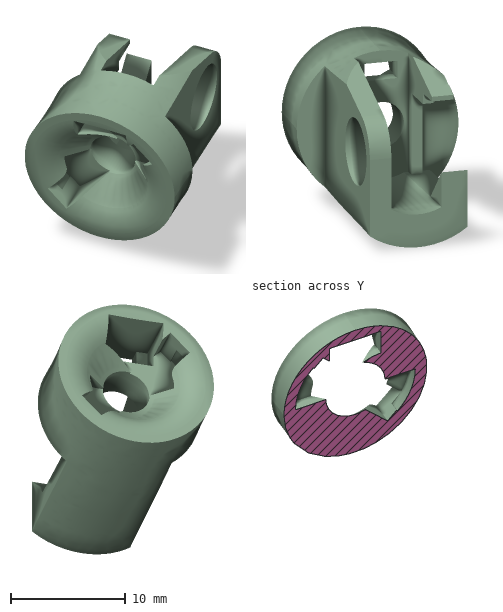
import cadquery as cq
import math

LENGTH = 17.06
COLLAR_BACK = 6.31
COLLAR_BACK_RIGHT = 4.18
CLEARANCE = 10.24

SKIN_SECTIONS = (
    (0.0, 7.11, 7.15, -7.15),
    (3.41, 7.06, 7.17, -7.45),
    (7.68, 7.17, 7.34, -7.76),
    (10.24, 7.2, 7.45, -7.9),
    (LENGTH, 7.17, 6.52, -8.02),
)

FORK_HALF_WIDTH = 4.49
SLOT_HALF_WIDTH = 2.5
LEDGE_Z = -4.54
RAIL_INNER_X = -2.12
RAIL_TOP_Z = -1.35
CHANNEL_RADIUS = 5.0
PIVOT_Y = 13.05
PIVOT_HOLE_RADIUS = 3.04
REAR_CORNER_RADIUS = 3.55
TOP_START_Z = 6.95
TOP_SLOPE = 20.8

TAB_BOTTOM_Z = 3.94
TAB_END_Y = 13.09
RIB_THICKNESS = 0.99
RIB_END_Y = 10.53

BORE_RADIUS = 2.12
SOCKET_DEPTH = 3.0
RIM_ROUND = 3.0
FLARE_ANGLE = math.radians(45)

KEY_ANGLE = 45.0
KEY_HALF_WIDTH = 1.25
KEY_HALF_LENGTH = 5.73
UNDERCUT_START = 1.26
KEY_FLOOR = 3.17
LIP_ROUND = 0.5

POCKET_BOTTOM_Z = 3.28
POCKET_TOP_Z = 5.77
POCKET_DEPTH = 5.0
WINDOW_HALF_WIDTH = 1.5
WINDOW_BOTTOM_Z = 4.18

RELIEF_START = (-2.27, POCKET_BOTTOM_Z)
RELIEF_MIDDLE = (-0.75, 2.85)
RELIEF_END = (0.32, 2.12)


def box(x_range, y_range, z_range):
    """Axis-aligned block between the given limits."""
    size = [high - low for low, high in (x_range, y_range, z_range)]
    low_corner = (x_range[0], y_range[0], z_range[0])
    return cq.Workplane("XY").box(*size, centered=False).translate(low_corner)


def front_sketch(y):
    """Workplane at depth y with X across and Z up; a negative extrusion goes rearward."""
    return cq.Workplane("XZ", origin=(0, y, 0))


def make_skin():
    """Solid body lofted through the elliptical sections."""
    rings = []
    for y, half_width, half_height, bottom in SKIN_SECTIONS:
        ring = cq.Wire.makeEllipse(
            half_width,
            half_height,
            cq.Vector(0, y, bottom + half_height),
            cq.Vector(0, -1, 0),
            cq.Vector(1, 0, 0),
            rotation_angle=0,
        )
        rings.append(ring)
    return cq.Workplane(obj=cq.Solid.makeLoft(rings))


def fork_side_cuts():
    """Flats on both sides of the fork, starting at the collar's rear faces."""
    full_height = (-CLEARANCE, CLEARANCE)
    left = box((-CLEARANCE, -FORK_HALF_WIDTH), (COLLAR_BACK, LENGTH), full_height)
    right = box((FORK_HALF_WIDTH, CLEARANCE), (COLLAR_BACK_RIGHT, LENGTH), full_height)
    return left.union(right)


def fork_top_cut():
    """Everything above the sloped and rounded upper edge of the fork."""
    slope = math.radians(TOP_SLOPE)
    corner_z = TOP_START_Z - (LENGTH - COLLAR_BACK) * math.tan(slope)
    tangent_length = REAR_CORNER_RADIUS * math.tan((math.pi / 2 - slope) / 2)
    center_y = LENGTH - REAR_CORNER_RADIUS
    center_z = corner_z - tangent_length

    def on_corner(angle):
        return (
            center_y + REAR_CORNER_RADIUS * math.cos(angle),
            center_z + REAR_CORNER_RADIUS * math.sin(angle),
        )

    start_angle = math.pi / 2 - slope
    return (
        cq.Workplane("YZ", origin=(-CLEARANCE, 0, 0))
        .moveTo(COLLAR_BACK, TOP_START_Z)
        .lineTo(*on_corner(start_angle))
        .threePointArc(on_corner(start_angle / 2), on_corner(0))
        .lineTo(LENGTH, CLEARANCE)
        .lineTo(COLLAR_BACK, CLEARANCE)
        .close()
        .extrude(2 * CLEARANCE)
    )


def fork_slot():
    """Slot between the fork walls: open at the top, with a round channel as its floor."""
    slot = box(
        (RAIL_INNER_X, SLOT_HALF_WIDTH),
        (COLLAR_BACK, LENGTH),
        (-CHANNEL_RADIUS, CLEARANCE),
    )
    floor = front_sketch(COLLAR_BACK).circle(CHANNEL_RADIUS).extrude(COLLAR_BACK - LENGTH)
    upper = box(
        (-SLOT_HALF_WIDTH, SLOT_HALF_WIDTH),
        (COLLAR_BACK, LENGTH),
        (0, CLEARANCE),
    )
    return slot.intersect(floor).union(upper)


def left_opening():
    """Side opening under the tab; a 45 degree rise closes its rear lower corner."""
    rise = RAIL_TOP_Z - LEDGE_Z
    outline = [
        (COLLAR_BACK, LEDGE_Z),
        (LENGTH - rise, LEDGE_Z),
        (LENGTH, RAIL_TOP_Z),
        (LENGTH, CLEARANCE),
        (TAB_END_Y, CLEARANCE),
        (TAB_END_Y, TAB_BOTTOM_Z),
        (COLLAR_BACK, TAB_BOTTOM_Z),
    ]
    return (
        cq.Workplane("YZ", origin=(-CLEARANCE, 0, 0))
        .polyline(outline)
        .close()
        .extrude(CLEARANCE + RAIL_INNER_X)
    )


def tab_rib():
    """L-shaped rib along the underside of the tab and down the collar's rear face."""
    x_range = (-SLOT_HALF_WIDTH - RIB_THICKNESS, -SLOT_HALF_WIDTH)
    under_tab = box(
        x_range, (COLLAR_BACK, RIB_END_Y), (TAB_BOTTOM_Z - RIB_THICKNESS, TAB_BOTTOM_Z)
    )
    on_collar = box(
        x_range, (COLLAR_BACK, COLLAR_BACK + RIB_THICKNESS), (LEDGE_Z, TAB_BOTTOM_Z)
    )
    return under_tab.union(on_collar)


def pivot_hole():
    """Cross hole through the right-hand wall."""
    return (
        cq.Workplane("YZ")
        .center(PIVOT_Y, 0)
        .circle(PIVOT_HOLE_RADIUS)
        .extrude(CLEARANCE)
    )


def socket():
    """Flared rim, 45 degree cone and bore, revolved about the Y axis."""
    flare_depth = RIM_ROUND * (1 - math.cos(FLARE_ANGLE))
    cone_radius = BORE_RADIUS + SOCKET_DEPTH - flare_depth
    rim_radius = cone_radius + RIM_ROUND * math.sin(FLARE_ANGLE)
    arc_middle = (
        rim_radius - RIM_ROUND * math.sin(FLARE_ANGLE / 2),
        RIM_ROUND * (1 - math.cos(FLARE_ANGLE / 2)),
    )
    return (
        cq.Workplane("XY")
        .moveTo(0, 0)
        .lineTo(rim_radius, 0)
        .threePointArc(arc_middle, (cone_radius, flare_depth))
        .lineTo(BORE_RADIUS, SOCKET_DEPTH)
        .lineTo(BORE_RADIUS, COLLAR_BACK)
        .lineTo(0, COLLAR_BACK)
        .close()
        .revolve(360, (0, 0, 0), (0, 1, 0))
    )


def key_slot():
    """Slanted key slot plus two undercut sectors in which the key can turn."""
    slot = (
        front_sketch(0)
        .transformed(rotate=(0, 0, KEY_ANGLE))
        .rect(2 * KEY_HALF_LENGTH, 2 * KEY_HALF_WIDTH)
        .extrude(-KEY_FLOOR)
    )
    sweep_radius = math.hypot(KEY_HALF_LENGTH, KEY_HALF_WIDTH)

    def on_sweep(degrees):
        angle = math.radians(degrees)
        return (sweep_radius * math.cos(angle), sweep_radius * math.sin(angle))

    sector = (
        front_sketch(UNDERCUT_START)
        .lineTo(*on_sweep(0))
        .threePointArc(on_sweep(KEY_ANGLE / 2), on_sweep(KEY_ANGLE))
        .close()
        .extrude(UNDERCUT_START - KEY_FLOOR)
    )
    strip_side = KEY_HALF_WIDTH + LIP_ROUND
    lip = (
        cq.Workplane("YZ")
        .moveTo(UNDERCUT_START, -KEY_HALF_WIDTH)
        .lineTo(UNDERCUT_START, -strip_side)
        .radiusArc((UNDERCUT_START - LIP_ROUND, -KEY_HALF_WIDTH), -LIP_ROUND)
        .close()
        .extrude(KEY_HALF_LENGTH)
        .rotate((0, 0, 0), (0, 1, 0), -KEY_ANGLE)
    )
    turning_space = sector.union(lip)
    opposite = turning_space.rotate((0, 0, 0), (0, 1, 0), 180)
    return slot.union(turning_space).union(opposite)


def key_relief():
    """Curved relief joining the key slot to the latch pocket."""
    return (
        front_sketch(0)
        .moveTo(*RELIEF_START)
        .threePointArc(RELIEF_MIDDLE, RELIEF_END)
        .lineTo(SLOT_HALF_WIDTH, POCKET_BOTTOM_Z)
        .close()
        .extrude(-KEY_FLOOR)
    )


def latch_pocket():
    """Rectangular pocket from the front, with a smaller window through its floor."""
    pocket = box(
        (-SLOT_HALF_WIDTH, SLOT_HALF_WIDTH), (0, POCKET_DEPTH), (POCKET_BOTTOM_Z, POCKET_TOP_Z)
    )
    window = box(
        (-WINDOW_HALF_WIDTH, WINDOW_HALF_WIDTH), (0, COLLAR_BACK), (WINDOW_BOTTOM_Z, POCKET_TOP_Z)
    )
    return pocket.union(window)


result = (
    make_skin()
    .cut(fork_side_cuts())
    .cut(fork_top_cut())
    .cut(fork_slot())
    .cut(left_opening())
    .union(tab_rib())
    .cut(pivot_hole())
    .cut(socket())
    .cut(key_slot())
    .cut(key_relief())
    .cut(latch_pocket())
)